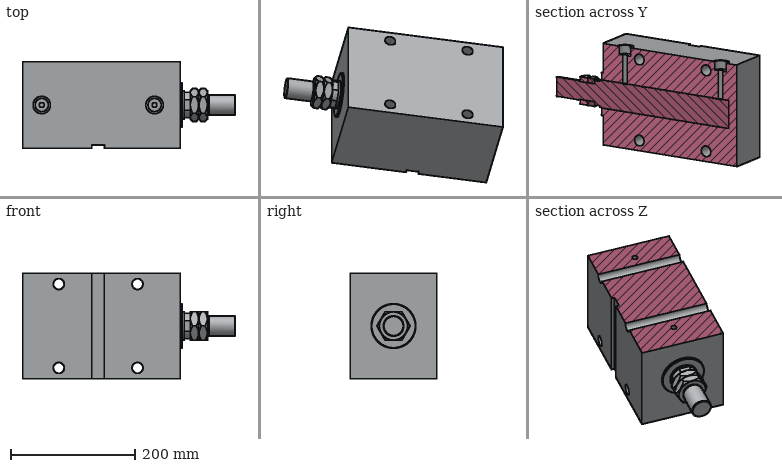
import cadquery as cq
import math


overall_length = 343.0
block_length = 254.0
block_width = 140.0
block_height = 170.0

ring_diameter = 72.0
ring_thickness = 3.0
ring_chamfer = 1.0

slot_start = 111.8
slot_width = 20.0
slot_depth = 5.0

mount_diameter = 17.0
mount_first_x = 58.3
mount_spacing_x = 127.0
mount_spacing_z = 135.0

port_first_x = 31.0
port_spacing = 181.8
spot_diameter = 28.0
spot_depth = 0.5
port_diameter = 21.3
port_depth = 14.0
passage_diameter = 8.0

rod_diameter = 46.0
rod_start = 15.5
flats_start = 260.7
flats_diameter = 45.0
flats_width = 41.5
neck_diameter = 31.0
end_diameter = 33.0
end_start = 299.8
end_chamfer = 1.0

nut_count = 2
nut_start = 270.0
nut_thickness = 14.0
nut_across_flats = 46.3
nut_face_diameter = 45.3

block_top = block_height / 2
block_front = -block_width / 2
nut_across_corners = nut_across_flats / math.cos(math.pi / 6)


def cylinder_x(start, end, diameter):
    """Cylinder on the X axis between two X positions."""
    return cq.Workplane("YZ").workplane(offset=start).circle(diameter / 2).extrude(end - start)


def make_port(x):
    """Cutting shape of one port, from the top face down to the rod axis."""
    top = cq.Workplane("XY", origin=(x, 0, block_top))
    spot = top.circle(spot_diameter / 2).extrude(-spot_depth)
    bore = top.circle(port_diameter / 2).extrude(-port_depth)
    passage = top.circle(passage_diameter / 2).extrude(-block_top)
    return spot.union(bore).union(passage)


def make_housing():
    """Block with its end ring, slot, mounting holes, ports and rod bore."""
    body = cq.Workplane("XY").box(block_length, block_width, block_height, centered=(False, True, True))

    ring_end = block_length + ring_thickness
    ring = cylinder_x(block_length, ring_end, ring_diameter).faces(">X").edges().chamfer(ring_chamfer)
    body = body.union(ring)

    slot = cq.Workplane("XY").box(slot_width, slot_depth, block_height, centered=(False, False, True))
    body = body.cut(slot.translate((slot_start, block_front, 0)))

    mount_middle_x = mount_first_x + mount_spacing_x / 2
    mount_holes = (
        cq.Workplane("XZ", origin=(mount_middle_x, block_front, 0))
        .rarray(mount_spacing_x, mount_spacing_z, 2, 2)
        .circle(mount_diameter / 2)
        .extrude(-block_width)
    )
    body = body.cut(mount_holes)

    for x in (port_first_x, port_first_x + port_spacing):
        body = body.cut(make_port(x))

    return body.cut(cylinder_x(rod_start, ring_end, rod_diameter))


def make_rod():
    """Rod with four wrench flats, a neck that carries the nuts and a chamfered end."""
    shaft = cylinder_x(rod_start, flats_start, rod_diameter)
    flats_length = nut_start - flats_start
    flats_square = cq.Workplane("XY").box(
        flats_length, flats_width, flats_width, centered=(False, True, True)
    )
    flats = cylinder_x(flats_start, nut_start, flats_diameter).intersect(
        flats_square.translate((flats_start, 0, 0))
    )
    neck = cylinder_x(nut_start, end_start, neck_diameter)
    end = cylinder_x(end_start, overall_length, end_diameter).faces("<X or >X").edges().chamfer(end_chamfer)
    return shaft.union(flats).union(neck).union(end)


def make_nut(start):
    """Hexagon nut with corners on +Y and -Y, its corners chamfered at 45 degrees on both faces."""
    hexagon = (
        cq.Workplane("YZ")
        .workplane(offset=start)
        .polygon(6, nut_across_corners)
        .extrude(nut_thickness)
    )
    corner_chamfer = (nut_across_corners - nut_face_diameter) / 2
    chamfered_disc = cylinder_x(start, start + nut_thickness, nut_across_corners)
    chamfered_disc = chamfered_disc.faces("<X or >X").edges().chamfer(corner_chamfer)
    return hexagon.intersect(chamfered_disc).cut(
        cylinder_x(start, start + nut_thickness, neck_diameter)
    )


housing = make_housing()
rod = make_rod()
nuts = [make_nut(nut_start + index * nut_thickness) for index in range(nut_count)]

result = cq.Compound.makeCompound([housing.val(), rod.val(), *[nut.val() for nut in nuts]])